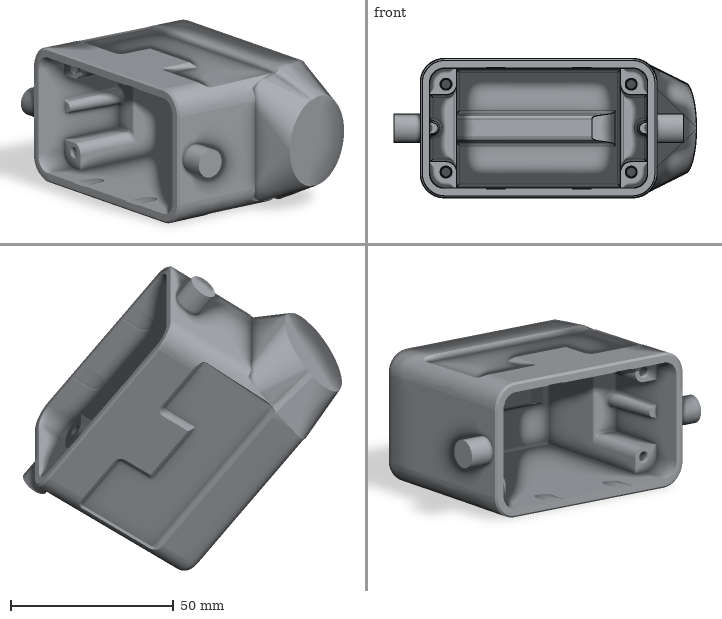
import cadquery as cq
import math


body_length = 72.85
body_height = 42.95
body_depth = 57.0
body_corner = 7.45
back_fillet = 3.45
rim_chamfer = 0.65
draft = 0.45

mouth_length = 67.2
mouth_height = 37.0
mouth_corner = 4.7
back_wall = 2.8
cavity_depth = body_depth - back_wall
cavity_fillet = 0.9
well_length = 50.5
ledge_middle = (well_length + mouth_length) / 4
ledge_depth = 30.7
ledge_fillet = 0.8

post_face_depth = 9.9
post_spacing_x = 57.0
post_spacing_z = 27.0
post_inner_z = 10.3
post_corner = 3.1
screw_hole_diameter = 3.0
screw_hole_depth = 14.0
screw_hole_chamfer = 0.33
screw_hole_chamfer_angle = 45
key_width = 3.4
key_reach = 2.6
key_length = 11.2
key_draft = 1.8
key_root_fillet = 0.8
key_face_depth = 10.25

ridge_base_width = 9.2
ridge_top_width = 7.2
ridge_fillet = 1.1
ridge_height = 3.3
ridge_ramp_start = 16.4
ridge_ramp_end = 23.5

slot_width = 5.7
slot_length = 9.0
slot_spacing = 26.5
slot_relief = 0.2

pin_diameter = 8.85
pin_span = 89.1
pin_from_rim = 6.15

panel_depth = 1.5
panel_wall_run = 1.8
panel_left = -31.9
panel_right = 32.8
panel_right_back = 31.5
panel_front = 14.9
panel_back = 41.6
panel_corner = 0.7
tab_width = 23.4
tab_back = 26.9

spout_angle = 16.0
spout_end_x = 44.7
spout_end_y = 47.7
spout_radius = 14.2
spout_length = 14.3
spout_half_height = 14.4
spout_upper_half_width = 21.0
spout_lower_half_width = spout_upper_half_width - panel_depth
spout_upper_corner = 4.7
spout_lower_corner = 6.1
spout_step_top = -0.5
spout_step_bottom = -2.3
spout_end_flat = 13.7
spout_tip_angle = 1.0


def depth_plane(depth):
    """Plane parallel to the rim, facing the back wall."""
    return cq.Workplane(cq.Plane(origin=(0, depth, 0), xDir=(1, 0, 0), normal=(0, 1, 0)))


def box(x_range, y_range, z_range):
    size = [high - low for low, high in (x_range, y_range, z_range)]
    corner = cq.Vector(x_range[0], y_range[0], z_range[0])
    return cq.Workplane(cq.Solid.makeBox(*size, corner))


def drafted_block(length, height, corner, depth):
    outline = cq.Sketch().rect(length, height).vertices().fillet(corner)
    return depth_plane(0).placeSketch(outline).extrude(depth, taper=draft)


def make_shell():
    shell = drafted_block(body_length, body_height, body_corner, body_depth)
    return shell.faces(">Y").edges().fillet(back_fillet).faces("<Y").edges().chamfer(rim_chamfer)


def make_pins():
    pins = cq.Workplane("YZ", origin=(-pin_span / 2, pin_from_rim, 0))
    return pins.circle(pin_diameter / 2).extrude(pin_span)


def on_end_circle(degrees):
    angle = math.radians(degrees)
    return (spout_radius * math.cos(angle), spout_radius * math.sin(angle))


def mirrored_wire(plane, half, half_bulges):
    """Closed wire from a half outline and its mirror image; bulges are the arc midpoints by segment."""
    points = half + [(-x, y) for x, y in reversed(half)]
    segments = len(points) - 1
    bulges = dict(half_bulges)
    for index, (x, y) in half_bulges.items():
        bulges[segments - 1 - index] = (-x, y)
    wire = cq.Workplane(plane).moveTo(*points[0])
    for index in range(segments):
        if index in bulges:
            wire = wire.threePointArc(bulges[index], points[index + 1])
        else:
            wire = wire.lineTo(*points[index + 1])
    return wire.close().val()


def make_spout():
    angle = math.radians(spout_angle)
    axis = cq.Vector(math.cos(angle), math.sin(angle), 0)
    end_center = cq.Vector(spout_end_x, spout_end_y, 0)
    end_plane = cq.Plane(end_center, xDir=(0, 0, -1), normal=axis)
    base_plane = cq.Plane(end_center - axis * spout_length, xDir=(0, 0, -1), normal=axis)
    diagonal = 1 - math.sqrt(0.5)

    low, high = -spout_half_height, spout_half_height
    lower, upper = spout_lower_half_width, spout_upper_half_width
    r_low, r_high = spout_lower_corner, spout_upper_corner
    half_base = [
        (lower - r_low, low),
        (lower, low + r_low),
        (lower, spout_step_bottom),
        (upper, spout_step_top),
        (upper, high - r_high),
        (upper - r_high, high),
    ]
    half_bulges = {
        0: (lower - r_low * diagonal, low + r_low * diagonal),
        4: (upper - r_high * diagonal, high - r_high * diagonal),
    }

    flat_x = spout_end_flat
    flat_low = -math.sqrt(spout_radius**2 - flat_x**2)
    flat_angle = math.degrees(math.atan2(flat_low, flat_x))
    half_end = [
        on_end_circle(-90 + spout_tip_angle),
        (flat_x, flat_low),
        (flat_x, spout_step_bottom),
        on_end_circle(-spout_tip_angle),
        on_end_circle(spout_tip_angle),
        on_end_circle(90 - spout_tip_angle),
    ]
    half_end_bulges = {0: on_end_circle((flat_angle - 90) / 2), 4: on_end_circle(45)}

    base_wire = mirrored_wire(base_plane, half_base, half_bulges)
    end_wire = mirrored_wire(end_plane, half_end, half_end_bulges)
    return cq.Workplane(cq.Solid.makeLoft([base_wire, end_wire], True))


def make_spout_clearance():
    """Corner of the shell that gives way to the spout."""
    height = 2 * spout_half_height
    corner = cq.Workplane(cq.Solid.makeBox(2 * spout_length, 2 * height, body_height))
    corner = corner.translate((-spout_length, -spout_half_height, -body_height / 2))
    corner = corner.rotate((0, 0, 0), (0, 0, 1), spout_angle)
    return corner.translate((spout_end_x, spout_end_y, 0))


def make_panel_cutter():
    """Cutter for the upper panel; its walls slope outward and its floor follows the draft."""
    tilt = math.radians(draft)
    floor_height = body_height / 2 - panel_depth
    plane = cq.Plane((0, 0, floor_height), xDir=(1, 0, 0), normal=(0, math.sin(tilt), math.cos(tilt)))
    outline = [
        (panel_left, panel_front),
        (-tab_width / 2, panel_front),
        (-tab_width / 2, tab_back),
        (tab_width / 2, tab_back),
        (tab_width / 2, panel_front),
        (panel_right, panel_front),
        (panel_right_back, panel_back),
        (panel_left, panel_back),
    ]
    wall_angle = math.degrees(math.atan2(panel_wall_run, panel_depth))
    panel = cq.Sketch().polygon(outline + outline[:1]).vertices().fillet(panel_corner)
    return cq.Workplane(plane).placeSketch(panel).extrude(2 * panel_depth, taper=-wall_angle)


def make_ledge(side):
    """Solid end of the cavity below the posts, with a rounded edge towards the well."""
    x_range = sorted((side * well_length / 2, side * body_length / 2))
    ledge = box(x_range, (ledge_depth, body_depth), (-body_height / 2, body_height / 2))
    well_edge = cq.NearestToPointSelector((side * well_length / 2, ledge_depth, 0))
    return ledge.edges("|Z").edges(well_edge).fillet(ledge_fillet)


def make_post(side_x, side_z):
    """Corner post between a ledge, an end wall and a long wall, with a rounded free corner."""
    x_range = sorted((side_x * well_length / 2, side_x * body_length / 2))
    z_range = sorted((side_z * post_inner_z, side_z * body_height / 2))
    post = box(x_range, (post_face_depth, ledge_depth + ledge_fillet), z_range)
    free_edge = cq.NearestToPointSelector(
        (side_x * well_length / 2, (post_face_depth + ledge_depth) / 2, side_z * post_inner_z)
    )
    return post.edges("|Y").edges(free_edge).fillet(post_corner)


def make_key(side_x):
    """Round-nosed, drafted rib running down the middle of an end wall."""
    center_x = side_x * (mouth_length / 2 - key_reach + key_length / 2)
    outline = depth_plane(key_face_depth).center(center_x, 0).slot2D(key_length, key_width)
    return outline.extrude(ledge_depth - key_face_depth, taper=-key_draft)


def make_ridge():
    """Trapezoidal ridge with rounded edges on the cavity floor, ramping down at its +X end."""
    half_base, half_top = ridge_base_width / 2, ridge_top_width / 2
    half_footing = half_base + 2 * ridge_fillet
    top_depth = cavity_depth - ridge_height
    footing_depth = cavity_depth + ridge_fillet
    section = [
        (footing_depth, -half_footing),
        (cavity_depth, -half_footing),
        (cavity_depth, -half_base),
        (top_depth, -half_top),
        (top_depth, half_top),
        (cavity_depth, half_base),
        (cavity_depth, half_footing),
        (footing_depth, half_footing),
    ]
    start = cq.Workplane("YZ", origin=(-well_length / 2, 0, 0))
    ridge = start.polyline(section).close().extrude(well_length)
    around_ridge = cq.selectors.BoxSelector(
        (-well_length, 0, -half_base - ridge_fillet),
        (well_length, cavity_depth + ridge_fillet / 2, half_base + ridge_fillet),
    )
    ridge = ridge.edges("|X").edges(around_ridge).fillet(ridge_fillet)
    ramp_profile = [
        (ridge_ramp_start, top_depth),
        (ridge_ramp_end, cavity_depth),
        (well_length / 2, cavity_depth),
        (well_length / 2, top_depth),
    ]
    ramp = cq.Workplane("XY", origin=(0, 0, -half_footing)).polyline(ramp_profile).close()
    return ridge.cut(ramp.extrude(2 * half_footing))


def make_cavity():
    """Everything to be hollowed out, with the posts, keys and ridge left standing."""
    cavity = drafted_block(mouth_length, mouth_height, mouth_corner, cavity_depth)
    for side in (-1, 1):
        cavity = cavity.cut(make_ledge(side))
    cavity = cavity.faces(">Y").edges().fillet(cavity_fillet)
    for side_x in (-1, 1):
        for side_z in (-1, 1):
            cavity = cavity.cut(make_post(side_x, side_z))
        pocket_floor = cq.NearestToPointSelector((side_x * ledge_middle, ledge_depth, 0))
        cavity = cavity.faces(pocket_floor).edges("|X or |Z").fillet(ledge_fillet)
        cavity = cavity.cut(make_key(side_x))
        key_nose = cq.NearestToPointSelector((side_x * (mouth_length / 2 - key_reach), ledge_depth, 0))
        cavity = cavity.edges(key_nose).fillet(key_root_fillet)
    return cavity.cut(make_ridge())


def make_screw_holes():
    holes = depth_plane(post_face_depth).rarray(post_spacing_x, post_spacing_z, 2, 2)
    holes = holes.circle(screw_hole_diameter / 2).extrude(screw_hole_depth)
    mouths = depth_plane(post_face_depth).rarray(post_spacing_x, post_spacing_z, 2, 2)
    mouths = mouths.circle(screw_hole_diameter / 2 + screw_hole_chamfer)
    return holes.union(mouths.extrude(screw_hole_chamfer, taper=screw_hole_chamfer_angle))


def make_slots():
    straight = slot_length - slot_width / 2
    height = mouth_height + 2 * slot_relief
    outline = cq.Workplane("XY", origin=(0, 0, -height / 2)).pushPoints(
        [(-slot_spacing / 2, 0), (slot_spacing / 2, 0)]
    )
    return outline.slot2D(2 * straight + slot_width, slot_width, 90).extrude(height)


panel_cutter = make_panel_cutter()

result = make_shell().cut(make_spout_clearance()).union(make_spout())
result = result.cut(panel_cutter).cut(panel_cutter.mirror("XY"))
result = result.union(make_pins())
result = result.cut(make_cavity()).cut(make_slots()).cut(make_screw_holes())